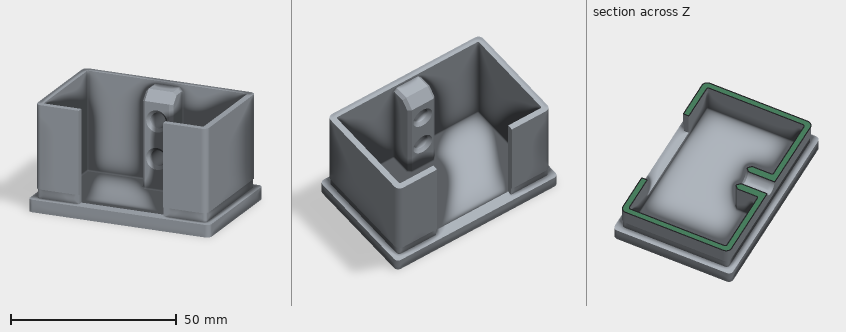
import cadquery as cq

flange_length = 60.0
flange_width = 40.0
flange_height = 4.0
flange_corner = 1.5

total_height = 34.0
shell_inset = 1.6
shell_corner = 1.85
neck_height = 3.0
neck_step = 0.4
neck_corner = 1.0

wall_thickness = 2.0
floor_height = 2.0
inner_fillet = 0.5
opening_width = 27.85

post_width = 10.0
post_depth = 8.0
post_top_drop = 1.0
post_front_chamfer = 3.0
post_side_chamfer = 1.0

hole_diameter = 5.0
countersink_diameter = 7.0
hole_heights = (12.0, 24.0)

shell_length = flange_length - 2 * shell_inset
shell_width = flange_width - 2 * shell_inset
shell_bottom = flange_height + neck_height
cavity_length = shell_length - 2 * wall_thickness
cavity_width = shell_width - 2 * wall_thickness
rear_wall_y = cavity_width / 2
post_front_y = rear_wall_y - post_depth
post_top = total_height - post_top_drop
tolerance = 0.005


def rounded_block(length, width, bottom, top, radius):
    """Centred upright block with rounded vertical corners."""
    block = cq.Workplane("XY", origin=(0, 0, bottom)).rect(length, width).extrude(top - bottom)
    return block.edges("|Z").fillet(radius)


def make_post():
    """Post against the rear wall, with bevelled front, top and sides."""
    post = (
        cq.Workplane("XY", origin=(0, rear_wall_y - post_depth / 2, floor_height))
        .rect(post_width, post_depth)
        .extrude(post_top - floor_height)
    )
    post = post.faces("<Y").edges(">Z").chamfer(post_front_chamfer)
    for side in ("<X", ">X"):
        rim = post.faces(side).edges(
            cq.selectors.BoxSelector(
                (-post_width, post_front_y - tolerance, floor_height + tolerance),
                (post_width, rear_wall_y - tolerance, post_top + tolerance),
            )
        )
        post = rim.chamfer(post_side_chamfer)
    return post


def make_cavity():
    """Inner space around the post, rounded at the floor and inside corners."""
    space = (
        cq.Workplane("XY", origin=(0, 0, floor_height))
        .rect(cavity_length, cavity_width)
        .extrude(total_height - floor_height)
        .cut(make_post())
    )
    corners = space.edges("|Z and (<X or >X)")
    wall_joints = space.edges("|Z").edges(
        cq.selectors.BoxSelector(
            (-post_width, rear_wall_y - tolerance, 0),
            (post_width, rear_wall_y + tolerance, total_height),
        )
    )
    floor_edges = space.faces("<Z").edges()
    return corners.add(wall_joints).add(floor_edges).fillet(inner_fillet)


def make_opening():
    """Full-height gap in the front wall, down to the flange."""
    front_wall = (flange_width - cavity_width) / 2
    return (
        cq.Workplane("XY", origin=(0, -(cavity_width + front_wall) / 2, flange_height))
        .rect(opening_width, front_wall)
        .extrude(total_height - flange_height)
    )


def make_hole(height):
    """Screw hole with a 45 degree countersink on the post front."""
    front = cq.Workplane("XZ", origin=(0, post_front_y, height))
    drill = front.circle(hole_diameter / 2).extrude(-flange_width)
    sink_depth = (countersink_diameter - hole_diameter) / 2
    sink = front.circle(countersink_diameter / 2).extrude(-sink_depth, taper=45)
    return drill.union(sink)


flange = rounded_block(flange_length, flange_width, 0, flange_height, flange_corner)
neck = rounded_block(
    shell_length - 2 * neck_step,
    shell_width - 2 * neck_step,
    flange_height,
    shell_bottom,
    neck_corner,
)
shell = rounded_block(shell_length, shell_width, shell_bottom, total_height, shell_corner)

result = flange.union(neck).union(shell).cut(make_cavity()).cut(make_opening())
for hole_height in hole_heights:
    result = result.cut(make_hole(hole_height))